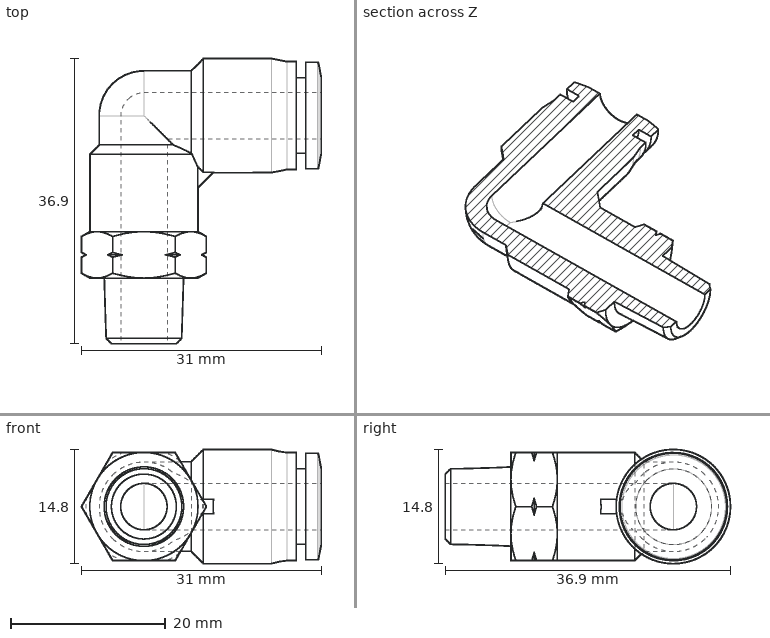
import cadquery as cq
import math


elbow_radius = 5.8
bore_radius = 3.0

sleeve_radius = 7.0
sleeve_cone_start = 3.8
sleeve_cone_end = sleeve_cone_start + sleeve_radius - elbow_radius
hex_start = 15.0
hex_length = 6.0
hex_end = hex_start + hex_length
stem_end = 29.5
spigot_chamfer = 0.7
spigot_chamfer_start = stem_end - spigot_chamfer
spigot_tip_radius = 4.2
spigot_end_radius = spigot_tip_radius + spigot_chamfer
spigot_taper = 1 / 32
spigot_root_radius = spigot_end_radius + (spigot_chamfer_start - hex_end) * spigot_taper

hex_flat_radius = sleeve_radius
hex_corner_radius = hex_flat_radius / math.cos(math.radians(30))
corner_slope = math.tan(math.radians(30))
corner_chamfer = (hex_corner_radius - hex_flat_radius) * corner_slope
notch_middle = hex_start + hex_length / 2
notch_depth = 0.55
notch_half_width = notch_depth * corner_slope

port_radius = 7.4
port_cone_start = 6.1
port_cone_end = port_cone_start + port_radius - elbow_radius
port_taper_start = 16.45
port_lip_start = 18.45
port_lip_radius = 7.0
port_lip_end = 19.7
neck_radius = 4.9
collar_start = 20.9
collar_radius = 6.9
collar_edge_round = 0.2
collar_end = 22.95
collar_face_radius = 4.9
collar_face_rise = 0.35
collar_rim = collar_end - collar_face_rise

rib_width = 1.9
rib_reach = 16.35


def make_stem():
    """Sleeve and tapered spigot, turned about the Y axis."""
    return (
        cq.Workplane("XY")
        .lineTo(elbow_radius, 0)
        .lineTo(elbow_radius, -sleeve_cone_start)
        .lineTo(sleeve_radius, -sleeve_cone_end)
        .lineTo(sleeve_radius, -hex_end)
        .lineTo(spigot_root_radius, -hex_end)
        .lineTo(spigot_end_radius, -spigot_chamfer_start)
        .lineTo(spigot_tip_radius, -stem_end)
        .lineTo(0, -stem_end)
        .close()
        .revolve(360, (0, 0, 0), (0, 1, 0))
    )


def make_hexagon():
    """Hexagon with corners on the X axis, trimmed by a turned envelope."""
    prism = (
        cq.Workplane("XZ", origin=(0, -hex_start, 0))
        .polygon(6, 2 * hex_corner_radius)
        .extrude(hex_length)
    )
    envelope = (
        cq.Workplane("XY")
        .moveTo(0, -hex_start)
        .lineTo(hex_flat_radius, -hex_start)
        .lineTo(hex_corner_radius, -hex_start - corner_chamfer)
        .lineTo(hex_corner_radius, -notch_middle + notch_half_width)
        .lineTo(hex_corner_radius - notch_depth, -notch_middle)
        .lineTo(hex_corner_radius, -notch_middle - notch_half_width)
        .lineTo(hex_corner_radius, -hex_end + corner_chamfer)
        .lineTo(hex_flat_radius, -hex_end)
        .lineTo(0, -hex_end)
        .close()
        .revolve(360, (0, 0, 0), (0, 1, 0))
    )
    return prism.intersect(envelope)


def make_port():
    """Tube port with its neck and release collar, turned about the X axis."""
    return (
        cq.Workplane("XY")
        .lineTo(0, elbow_radius)
        .lineTo(port_cone_start, elbow_radius)
        .lineTo(port_cone_end, port_radius)
        .lineTo(port_taper_start, port_radius)
        .lineTo(port_lip_start, port_lip_radius)
        .lineTo(port_lip_end, port_lip_radius)
        .lineTo(port_lip_end, neck_radius)
        .lineTo(collar_start, neck_radius)
        .lineTo(collar_start, collar_radius)
        .lineTo(collar_rim - collar_edge_round, collar_radius)
        .radiusArc((collar_rim, collar_radius - collar_edge_round), collar_edge_round)
        .lineTo(collar_end, collar_face_radius)
        .lineTo(collar_end, 0)
        .close()
        .revolve(360, (0, 0, 0), (1, 0, 0))
    )


def make_rib():
    """Triangular web filling the inside corner."""
    return (
        cq.Workplane("XY", origin=(0, 0, -rib_width / 2))
        .moveTo(elbow_radius, -elbow_radius)
        .lineTo(rib_reach - elbow_radius, -elbow_radius)
        .lineTo(elbow_radius, elbow_radius - rib_reach)
        .close()
        .extrude(rib_width)
    )


def make_bore():
    """Passage from the spigot tip, round the elbow and out through the collar."""
    stem_bore = cq.Workplane("XZ").circle(bore_radius).extrude(stem_end)
    port_bore = cq.Workplane("YZ").circle(bore_radius).extrude(collar_end)
    return stem_bore.union(port_bore).union(cq.Workplane("XY").sphere(bore_radius))


elbow_ball = cq.Workplane("XY").sphere(elbow_radius)
body = make_stem().union(make_port()).union(elbow_ball).union(make_hexagon()).union(make_rib())
result = body.cut(make_bore())